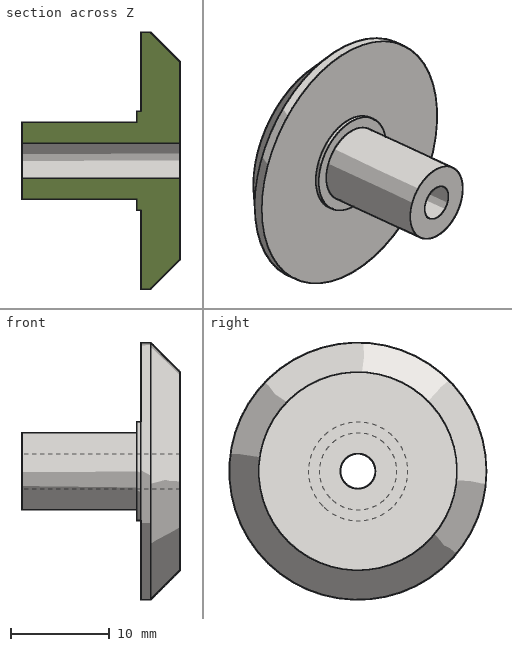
import cadquery as cq

shaft_length = 11.6
collar_thickness = 0.42
rim_thickness = 1.0
taper_length = 3.0

shaft_diameter = 7.8
collar_diameter = 10.0
rim_diameter = 26
bore_diameter = 3.5

face_diameter = rim_diameter - 2 * taper_length

collar_start = shaft_length
rim_start = collar_start + collar_thickness
taper_start = rim_start + rim_thickness
total_length = taper_start + taper_length


def disc(start, length, diameter):
    """Cylinder on the X axis, running toward +X from the start station."""
    return cq.Workplane("YZ", origin=(start, 0, 0)).circle(diameter / 2).extrude(length)


shaft = disc(0, shaft_length, shaft_diameter)
collar = disc(collar_start, collar_thickness, collar_diameter)
rim = disc(rim_start, rim_thickness, rim_diameter)

taper = (
    cq.Workplane("YZ", origin=(taper_start, 0, 0))
    .circle(rim_diameter / 2)
    .workplane(offset=taper_length)
    .circle(face_diameter / 2)
    .loft(ruled=True)
)

bore = disc(0, total_length, bore_diameter)

result = shaft.union(collar).union(rim).union(taper).cut(bore)